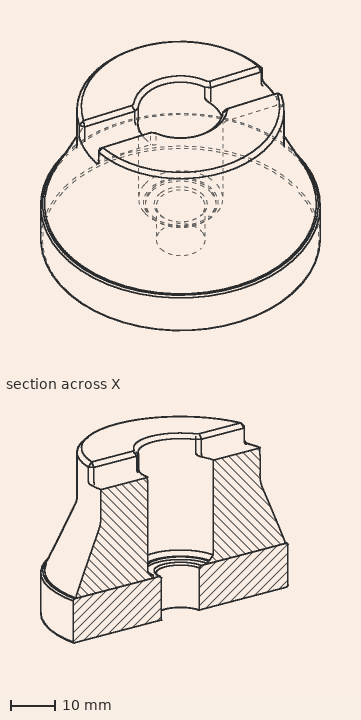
import cadquery as cq
import math

base_diameter = 63.4
total_height = 40.0
base_height = 10.65

base_top_chamfer = 0.45
base_bottom_chamfer = 0.4
through_hole_diameter = 11.0
through_hole_chamfer = 0.5

neck_radius = 47.0 / 2
neck_bottom = 28.45
neck_blend_radius = 7.2
foot_radius = 61.6 / 2
foot_round_radius = 2.15
cone_angle = math.radians(25.7)

mouth_radius = 19.3 / 2
bore_radius = 19.1 / 2
mouth_bottom = 34.4
mouth_taper_height = 1.1
seat_radius = 8.4
bore_end_radius = 16.0 / 2
seat_height = 0.65

slot_width = 8.2
slot_depth = 4.95
slot_floor_fillet = 0.75
edge_chamfer = 1.0
bore_corner_chamfer = 0.75


def make_base():
    """Plain disc with chamfered rims and a central through hole."""
    disc = cq.Workplane("XY").circle(base_diameter / 2).extrude(base_height)
    disc = disc.faces(">Z").chamfer(base_top_chamfer)
    disc = disc.faces("<Z").chamfer(base_bottom_chamfer)
    return disc.faces(">Z").workplane().cskHole(
        through_hole_diameter, through_hole_diameter + 2 * through_hole_chamfer, 90
    )


def arc_point(radius, angle):
    """Sideways and vertical travel along an arc that starts vertical."""
    return radius * (1 - math.cos(angle)), radius * math.sin(angle)


def make_housing_blank():
    """Revolved housing with its stepped bore, before the slot is cut."""
    foot_in, foot_rise = arc_point(foot_round_radius, cone_angle)
    foot_mid_in, foot_mid_rise = arc_point(foot_round_radius, cone_angle / 2)
    blend_out, blend_drop = arc_point(neck_blend_radius, cone_angle)
    blend_mid_out, blend_mid_drop = arc_point(neck_blend_radius, cone_angle / 2)

    ledge = base_height + seat_height
    seat_cone_top = ledge + bore_radius - seat_radius

    profile = (
        cq.Workplane("XZ")
        .moveTo(bore_end_radius, base_height)
        .lineTo(foot_radius, base_height)
        .threePointArc(
            (foot_radius - foot_mid_in, base_height + foot_mid_rise),
            (foot_radius - foot_in, base_height + foot_rise),
        )
        .lineTo(neck_radius + blend_out, neck_bottom - blend_drop)
        .threePointArc(
            (neck_radius + blend_mid_out, neck_bottom - blend_mid_drop),
            (neck_radius, neck_bottom),
        )
        .lineTo(neck_radius, total_height)
        .lineTo(mouth_radius, total_height)
        .lineTo(mouth_radius, mouth_bottom)
        .lineTo(bore_radius, mouth_bottom - mouth_taper_height)
        .lineTo(bore_radius, seat_cone_top)
        .lineTo(seat_radius, ledge)
        .lineTo(bore_end_radius, ledge)
        .close()
    )
    return profile.revolve(360, (0, 0, 0), (0, 1, 0))


def cut_slot(housing):
    """Cut the slot, chamfer its edges and the top rims, then round its floor."""
    slot_floor = total_height - slot_depth
    slot = (
        cq.Workplane("XY")
        .workplane(offset=slot_floor)
        .rect(slot_width, base_diameter)
        .extrude(slot_depth)
    )
    slotted = housing.cut(slot)

    margin = 0.05
    slot_zone = cq.selectors.BoxSelector(
        (-slot_width / 2 - margin, -neck_radius, slot_floor + margin),
        (slot_width / 2 + margin, neck_radius, total_height - margin),
    )
    bore_zone = cq.selectors.BoxSelector(
        (-mouth_radius, -mouth_radius, slot_floor), (mouth_radius, mouth_radius, total_height)
    )
    corners = slotted.edges("|Z").edges(slot_zone)
    slotted = corners.edges(bore_zone).chamfer(bore_corner_chamfer)

    outer_corners = slotted.edges("|Z").edges(slot_zone - bore_zone)
    slotted = outer_corners.add(slotted.faces(">Z").edges()).chamfer(edge_chamfer)

    floor_edges = slotted.faces(cq.selectors.BoxSelector(
        (-slot_width, -neck_radius, slot_floor - margin),
        (slot_width, neck_radius, slot_floor + margin),
    )).edges("%LINE")
    return floor_edges.fillet(slot_floor_fillet)


base = make_base()
housing = cut_slot(make_housing_blank())

result = cq.Compound.makeCompound([base.val(), housing.val()])